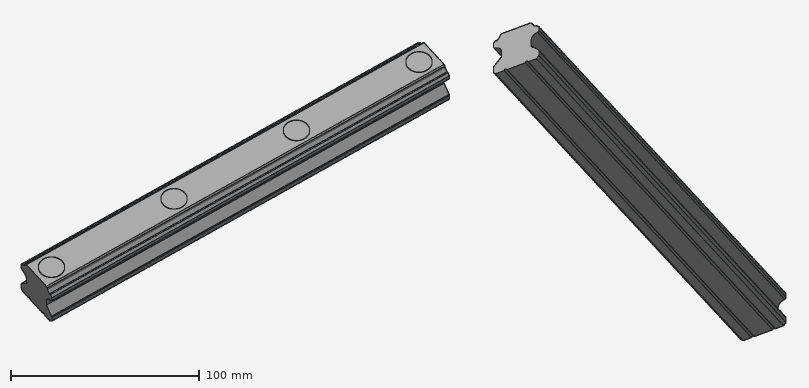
import cadquery as cq
import math

rail_length = 260.0
rail_width = 28.0
rail_height = 26.0

foot_chamfer = 1.5
foot_top = 4.7
foot_bevel_width = 0.3
foot_bevel_height = 0.8

underside_groove_radius = 0.8
underside_groove_spacing = 13.0

waist_half_width = 9.0
waist_top = 13.8
groove_radius = 4.2
groove_axis_x = 13.3
groove_axis_z = 13.5
groove_start_rise = 1.5

head_bottom = 18.7
head_top = 21.3
head_chamfer = 1.3

crown_half_width = 9.0
crown_chamfer = 0.8
cove_width = 2.0
cove_sag = 0.4

cap_count = 4
cap_diameter = 14.0
cap_pitch = 80.0
cap_depth = 0.3

half_width = rail_width / 2
shoulder_height = head_top + head_chamfer
slope_start_x = half_width - foot_bevel_width
slope_start_z = foot_top + foot_bevel_height
waist_bottom = slope_start_z + slope_start_x - waist_half_width
groove_start_angle = math.asin(groove_start_rise / groove_radius)
groove_middle_angle = (groove_start_angle + math.pi / 2) / 2
cove_top_x = crown_half_width + crown_chamfer
cove_top_z = rail_height - crown_chamfer


def groove_point(angle):
    """Point on the ball groove, at an angle above the horizontal through its axis."""
    return (
        groove_axis_x - groove_radius * math.cos(angle),
        groove_axis_z + groove_radius * math.sin(angle),
    )


def make_half_rail():
    """Extrude the +X half of the cross-section along the whole rail."""
    profile = (
        cq.Workplane("XZ")
        .lineTo(half_width - foot_chamfer, 0)
        .lineTo(half_width, foot_chamfer)
        .lineTo(half_width, foot_top)
        .lineTo(slope_start_x, slope_start_z)
        .lineTo(waist_half_width, waist_bottom)
        .lineTo(waist_half_width, waist_top)
        .lineTo(*groove_point(groove_start_angle))
        .threePointArc(groove_point(groove_middle_angle), groove_point(math.pi / 2))
        .lineTo(half_width, head_bottom)
        .lineTo(half_width, head_top)
        .lineTo(half_width - head_chamfer, shoulder_height)
        .lineTo(cove_top_x + cove_width, shoulder_height)
        .sagittaArc((cove_top_x, cove_top_z), cove_sag)
        .lineTo(crown_half_width, rail_height)
        .lineTo(0, rail_height)
        .close()
    )
    return profile.extrude(rail_length / 2, both=True)


def make_cap_recesses():
    """Shallow round recesses over the bolt holes, evenly spaced along Y."""
    return (
        cq.Workplane("XY", origin=(0, 0, rail_height))
        .rarray(2.5, cap_pitch, 1, cap_count)
        .circle(cap_diameter / 2)
        .extrude(-cap_depth)
    )


def make_underside_grooves():
    """Two fine round-bottomed grooves running the full length of the underside."""
    return (
        cq.Workplane("XZ")
        .rarray(underside_groove_spacing, 2.5, 2, 1)
        .circle(underside_groove_radius)
        .extrude(rail_length / 2, both=True)
    )


half_rail = make_half_rail()
rail = half_rail.union(half_rail.mirror("YZ"))
result = rail.cut(make_cap_recesses()).cut(make_underside_grooves())